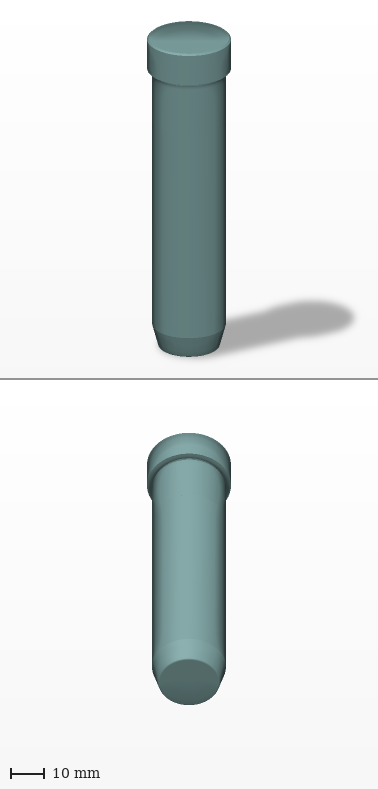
import cadquery as cq
import math

total_length = 100.0
shank_radius = 11.0

head_radius = 12.5
head_height = 10.0
head_chamfer = 0.5

relief_depth = 0.3
relief_floor_height = 0.5
relief_slope_height = 0.5

fit_length = 17.0

taper_height = 7.0
taper_angle = 15.0
tip_fillet = 0.5

head_bottom = total_length - head_height
joint_height = head_bottom - fit_length


def make_headed_section():
    """Head, relief groove and fitted cylinder, turned about Z."""
    relief_radius = shank_radius - relief_depth
    relief_floor_bottom = head_bottom - relief_floor_height
    relief_bottom = relief_floor_bottom - relief_slope_height
    return (
        cq.Workplane("XZ")
        .moveTo(0, joint_height)
        .lineTo(shank_radius, joint_height)
        .lineTo(shank_radius, relief_bottom)
        .lineTo(relief_radius, relief_floor_bottom)
        .lineTo(relief_radius, head_bottom)
        .lineTo(head_radius, head_bottom)
        .lineTo(head_radius, total_length - head_chamfer)
        .lineTo(head_radius - head_chamfer, total_length)
        .lineTo(0, total_length)
        .close()
        .revolve(360, (0, 0, 0), (0, 1, 0))
    )


def make_guide_shank():
    """Guiding cylinder with a conical lead-in and a rounded tip edge."""
    tip_radius = shank_radius - taper_height * math.tan(math.radians(taper_angle))
    shank = (
        cq.Workplane("XZ")
        .lineTo(tip_radius, 0)
        .lineTo(shank_radius, taper_height)
        .lineTo(shank_radius, joint_height)
        .lineTo(0, joint_height)
        .close()
        .revolve(360, (0, 0, 0), (0, 1, 0))
    )
    return shank.faces("<Z").edges().fillet(tip_fillet)


headed_section = make_headed_section()
guide_shank = make_guide_shank()

result = cq.Compound.makeCompound([headed_section.val(), guide_shank.val()])